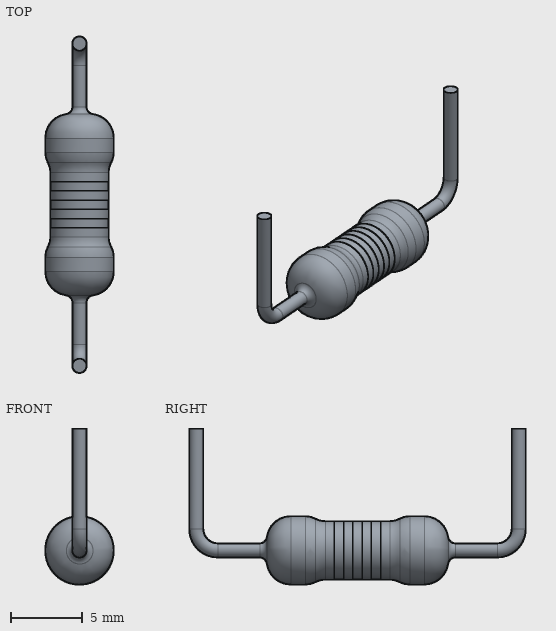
import cadquery as cq
import math


lead_radius = 1.0 / 2
lead_pitch = 22.5
lead_top = 8.5
bend_radius = 1.5

body_length = 12.7
cap_radius = 4.8 / 2
dome_radius = 1.7
cap_straight_length = 1.0
shoulder_length = 1.4
lead_fillet_radius = 0.5

waist_radius = 4.08 / 2
band_radius = 4.1 / 2
waist_division_count = 7

half_length = body_length / 2
cap_outer = half_length - dome_radius
cap_inner = cap_outer - cap_straight_length
waist_end = cap_inner - shoulder_length
division_width = 2 * waist_end / waist_division_count


def shoulder_arc_points():
    """Points (radius, y) of the S-shaped step from waist to cap, made of two equal tangent arcs."""
    half_step = (cap_radius - band_radius) / 2
    half_run = shoulder_length / 2
    arc_radius = (half_run**2 + half_step**2) / (2 * half_step)
    half_angle = math.asin(half_run / arc_radius) / 2
    mid_run = arc_radius * math.sin(half_angle)
    mid_rise = arc_radius * (1 - math.cos(half_angle))
    concave_mid = (band_radius + mid_rise, waist_end + mid_run)
    inflection = (band_radius + half_step, waist_end + half_run)
    convex_mid = (cap_radius - mid_rise, cap_inner - mid_run)
    return concave_mid, inflection, convex_mid


def dome_and_fillet_points():
    """Points (radius, y) of the domed end and the concave fillet tangent to both dome and lead."""
    dome_centre_radius = cap_radius - dome_radius
    fillet_centre_radius = lead_radius + lead_fillet_radius
    centre_distance = dome_radius + lead_fillet_radius
    contact_angle = math.acos((fillet_centre_radius - dome_centre_radius) / centre_distance)
    fillet_centre_y = cap_outer + centre_distance * math.sin(contact_angle)

    def on_dome(angle):
        return (
            dome_centre_radius + dome_radius * math.cos(angle),
            cap_outer + dome_radius * math.sin(angle),
        )

    fillet_mid_angle = contact_angle / 2
    fillet_mid = (
        fillet_centre_radius - lead_fillet_radius * math.cos(fillet_mid_angle),
        fillet_centre_y - lead_fillet_radius * math.sin(fillet_mid_angle),
    )
    fillet_end = (lead_radius, fillet_centre_y)
    return on_dome(contact_angle / 2), on_dome(contact_angle), fillet_mid, fillet_end


def make_end_cap():
    """The +Y end of the body, from shoulder to lead fillet, revolved about Y."""
    concave_mid, inflection, convex_mid = shoulder_arc_points()
    dome_mid, dome_end, fillet_mid, fillet_end = dome_and_fillet_points()
    profile = (
        cq.Workplane("XY")
        .moveTo(0, waist_end)
        .lineTo(band_radius, waist_end)
        .threePointArc(concave_mid, inflection)
        .threePointArc(convex_mid, (cap_radius, cap_inner))
        .lineTo(cap_radius, cap_outer)
        .threePointArc(dome_mid, dome_end)
        .threePointArc(fillet_mid, fillet_end)
        .lineTo(0, fillet_end[1])
        .close()
    )
    return profile.revolve(360, (0, 0, 0), (0, 1, 0))


def make_waist_disc(radius, start_y, length):
    """A disc on the Y axis, running from start_y towards +Y."""
    return cq.Workplane("XZ", origin=(0, start_y, 0)).circle(radius).extrude(-length)


def make_waist():
    """The waist cylinder with a raised band on every second division."""
    waist = make_waist_disc(waist_radius, -waist_end, 2 * waist_end)
    for division in range(0, waist_division_count, 2):
        band_start = -waist_end + division * division_width
        waist = waist.union(make_waist_disc(band_radius, band_start, division_width))
    return waist


def make_lead():
    """The +Y lead: rooted inside the cap, straight out of the body, a quarter bend, then straight up."""
    lead_y = lead_pitch / 2
    bend_start = lead_y - bend_radius
    bend_offset = bend_radius * math.sin(math.pi / 4)
    bend_mid = (bend_start + bend_offset, bend_radius - bend_offset)
    path = (
        cq.Workplane("YZ")
        .moveTo(cap_outer, 0)
        .lineTo(bend_start, 0)
        .threePointArc(bend_mid, (lead_y, bend_radius))
        .lineTo(lead_y, lead_top)
    )
    return (
        cq.Workplane("XZ", origin=(0, cap_outer, 0))
        .circle(lead_radius)
        .sweep(path)
    )


end_with_lead = make_end_cap().union(make_lead())
result = make_waist().union(end_with_lead).union(end_with_lead.mirror("XZ"))